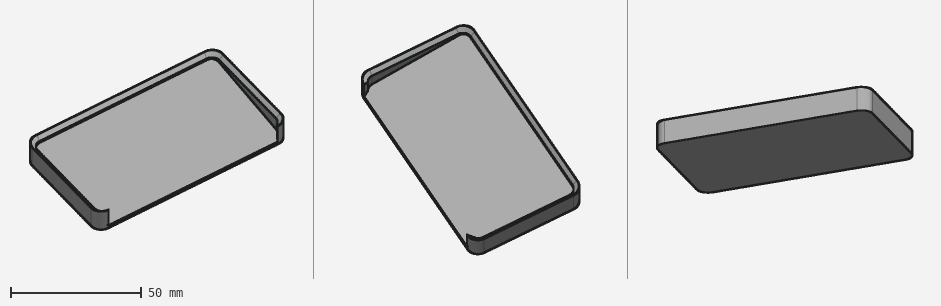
import cadquery as cq
import math

width = 49.0
length = 89.0
height = 10.0
outer_corner_radius = 4.6

rim_bevel = 2.0
rim_corner_radius = 5.3
inner_corner_radius = rim_corner_radius - rim_bevel

floor_angle = 7.0
floor_outlet_height = 1.4

outlet_half_width = 39.5
cheek_inset = 2.5
cheek_half_width = 40.9

overrun = 4.45


def rounded_block(size_x, size_y, size_z, radius):
    """Upright block on Z = 0 with rounded vertical edges."""
    return (
        cq.Workplane("XY")
        .box(size_x, size_y, size_z, centered=(True, True, False))
        .edges("|Z")
        .fillet(radius)
    )


def bevel_cutter():
    """Tapered cutter, widest at the top of the rim."""
    return (
        cq.Workplane("XY")
        .workplane(offset=height)
        .sketch()
        .rect(width, length)
        .vertices()
        .fillet(rim_corner_radius)
        .finalize()
        .extrude(-rim_bevel, taper=math.degrees(math.atan(1.0)))
    )


def outlet_cutter():
    """Opening through the +X side, between the two straight cheeks."""
    side = width / 2
    cheek_x = side - cheek_inset
    return (
        cq.Workplane("XY")
        .polyline([
            (0, -cheek_half_width),
            (cheek_x, -cheek_half_width),
            (side, -outlet_half_width),
            (side + overrun, -outlet_half_width),
            (side + overrun, outlet_half_width),
            (side, outlet_half_width),
            (cheek_x, cheek_half_width),
            (0, cheek_half_width),
        ])
        .close()
        .extrude(height + overrun)
    )


def space_above_floor():
    """Wedge-shaped region lying above the sloping floor plane."""
    reach = width / 2 + overrun
    slope = math.tan(math.radians(floor_angle))
    low_end = floor_outlet_height - overrun * slope
    high_end = floor_outlet_height + (width + overrun) * slope
    top = height + 2 * overrun
    return (
        cq.Workplane("XZ")
        .polyline([(-reach, high_end), (reach, low_end), (reach, top), (-reach, top)])
        .close()
        .extrude(length / 2 + overrun, both=True)
    )


inner_walls = rounded_block(
    width - 2 * rim_bevel, length - 2 * rim_bevel, height + overrun, inner_corner_radius
)
recess = inner_walls.union(outlet_cutter()).intersect(space_above_floor())

result = (
    rounded_block(width, length, height, outer_corner_radius)
    .cut(recess)
    .cut(bevel_cutter())
)